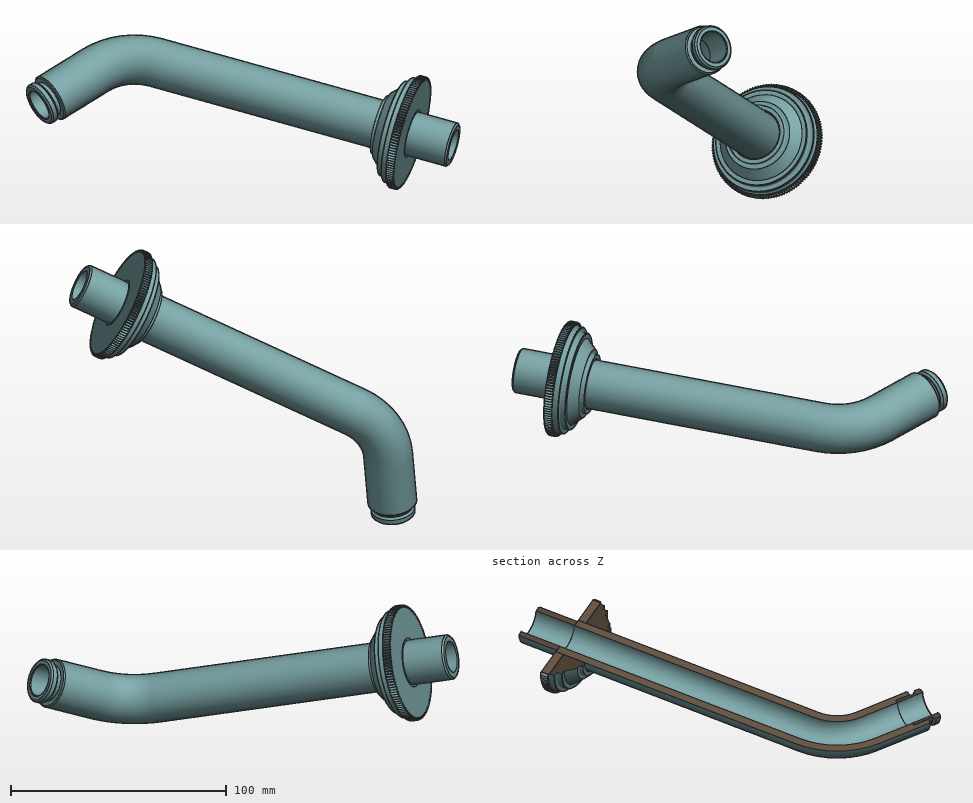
import cadquery as cq
import math


tube_radius = 11.5
bore_radius = 7.3
bend_radius = 30.0
bend_angle = 56.8
outlet_leg_length = 26.8
outlet_edge_chamfer = 0.5

neck_radius = 8.7
neck_length = 2.2
head_radius = 10.3
head_length = 4.0
head_back_chamfer = 1.0
head_face_chamfer = 0.8
insert_depth = 7.5
bore_mouth_chamfer = 0.4

collar_x = 110.0
collar_length = 1.8
collar_radius = 14.0
collar_mouth_chamfer = 0.5
cone_small_radius = 16.2
cone_large_radius = 20.5
cone_length = 4.5
inner_step_radius = 22.9
outer_step_radius = 25.3
step_length = 2.8
step_chamfer = 0.3
step_fillet = 0.5

ring_radius = 27.0
ring_length = 4.0
ring_chamfer = 0.5
tooth_count = 126
tooth_depth = 1.2

nipple_radius = 10.5
nipple_length = 20.1
nipple_chamfer = 0.8

cone_x = collar_x + collar_length
inner_step_x = cone_x + cone_length
outer_step_x = inner_step_x + step_length
ring_x = outer_step_x + step_length
wall_x = ring_x + ring_length
inlet_x = wall_x + nipple_length

turn = math.radians(bend_angle)
bend_end = (-bend_radius * math.sin(turn), -bend_radius * (1 - math.cos(turn)))
leg_direction = (-math.cos(turn), -math.sin(turn))
leg_plane = cq.Plane(origin=(*bend_end, 0), xDir=(*leg_direction, 0), normal=(0, 0, 1))


def turned(points, plane="XY"):
    """Revolve a closed (axial, radial) outline about the local X axis of a plane."""
    return cq.Workplane(plane).polyline(points).close().revolve(360, (0, 0), (1, 0))


def make_arm():
    half_turn = turn / 2
    bend_middle = (-bend_radius * math.sin(half_turn), -bend_radius * (1 - math.cos(half_turn)))
    leg_end = tuple(p + outlet_leg_length * d for p, d in zip(bend_end, leg_direction))
    path = (
        cq.Workplane("XY")
        .moveTo(wall_x, 0)
        .lineTo(0, 0)
        .threePointArc(bend_middle, bend_end)
        .lineTo(*leg_end)
    )
    section = cq.Workplane("YZ", origin=(wall_x, 0, 0)).circle(tube_radius).circle(bore_radius)
    tube = section.sweep(path)
    socket = (
        cq.Workplane(cq.Plane(origin=(*leg_end, 0), normal=(*leg_direction, 0)))
        .circle(neck_radius)
        .extrude(-insert_depth)
    )
    edge_trim = turned(
        [
            (outlet_leg_length - outlet_edge_chamfer, tube_radius),
            (outlet_leg_length, tube_radius),
            (outlet_leg_length, tube_radius - outlet_edge_chamfer),
        ],
        leg_plane,
    )
    return tube.cut(socket).cut(edge_trim)


def make_nozzle():
    head_start = outlet_leg_length + neck_length
    head_end = head_start + head_length
    insert_start = outlet_leg_length - insert_depth
    return turned(
        [
            (insert_start, bore_radius),
            (insert_start, neck_radius),
            (head_start, neck_radius),
            (head_start, head_radius - head_back_chamfer),
            (head_start + head_back_chamfer, head_radius),
            (head_end - head_face_chamfer, head_radius),
            (head_end, head_radius - head_face_chamfer),
            (head_end, bore_radius + bore_mouth_chamfer),
            (head_end - bore_mouth_chamfer, bore_radius),
        ],
        leg_plane,
    )


def add_filleted_root(outline, end, radius):
    """Run along a cylinder of the given radius and fillet it into the face at its back end."""
    fillet_middle = step_fillet * (1 - math.sqrt(0.5))
    return outline.lineTo(end - step_fillet, radius).threePointArc(
        (end - fillet_middle, radius + fillet_middle), (end, radius + step_fillet)
    )


def make_escutcheon():
    outline = (
        cq.Workplane("XY")
        .moveTo(collar_x + collar_mouth_chamfer, tube_radius)
        .lineTo(collar_x, tube_radius + collar_mouth_chamfer)
        .lineTo(collar_x, collar_radius)
    )
    outline = add_filleted_root(outline, cone_x, collar_radius)
    outline = outline.lineTo(cone_x, cone_small_radius).lineTo(inner_step_x, cone_large_radius)
    for start, radius in [(inner_step_x, inner_step_radius), (outer_step_x, outer_step_radius)]:
        outline = outline.lineTo(start, radius - step_chamfer).lineTo(start + step_chamfer, radius)
        outline = add_filleted_root(outline, start + step_length, radius)
    return outline.lineTo(ring_x, tube_radius).close().revolve(360, (0, 0), (1, 0))


def make_knurled_ring():
    blank = turned(
        [
            (ring_x, tube_radius),
            (ring_x, ring_radius - ring_chamfer),
            (ring_x + ring_chamfer, ring_radius),
            (wall_x - ring_chamfer, ring_radius),
            (wall_x, ring_radius - ring_chamfer),
            (wall_x, tube_radius),
        ]
    )
    outline = []
    for i in range(2 * tooth_count):
        angle = math.pi * i / tooth_count
        radius = ring_radius - tooth_depth * (i % 2)
        outline.append((radius * math.sin(angle), radius * math.cos(angle)))
    toothed = cq.Workplane("YZ", origin=(ring_x, 0, 0)).polyline(outline).close().extrude(ring_length)
    return blank.intersect(toothed)


def make_nipple():
    return turned(
        [
            (wall_x, bore_radius),
            (wall_x, nipple_radius),
            (inlet_x - nipple_chamfer, nipple_radius),
            (inlet_x, nipple_radius - nipple_chamfer),
            (inlet_x, bore_radius),
        ]
    )


arm = make_arm()
nozzle = make_nozzle()
escutcheon = make_escutcheon()
knurled_ring = make_knurled_ring()
nipple = make_nipple()

result = cq.Compound.makeCompound(
    [arm.val(), nozzle.val(), escutcheon.val(), knurled_ring.val(), nipple.val()]
)